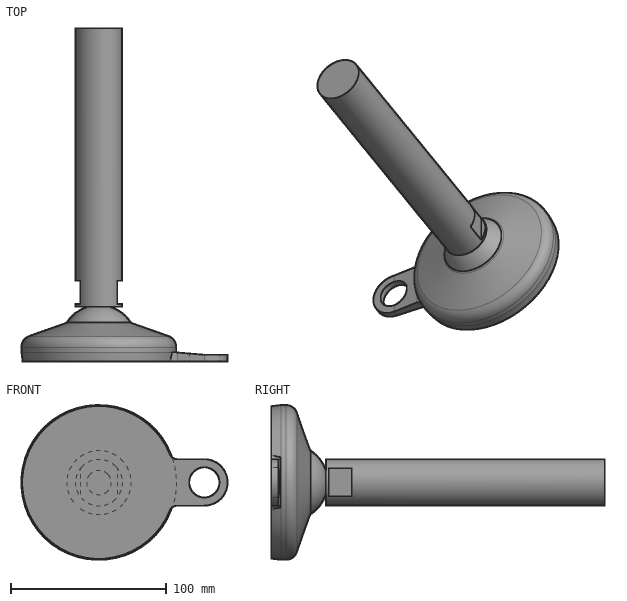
import cadquery as cq
import math

total_length = 215.0

foot_radius = 49.99
sole_radius = 49.2
sole_height = 6.2
rim_height = 9.5
shoulder_radius = 7.5
cone_angle = math.radians(19.5)
cone_top_radius = 21.7

ball_radius = 24.7
ball_center_y = 11.8
ball_base_y = 25.4

stem_radius = 15.0
stem_start_y = 35.3
flat_start_y = 37.2
flat_end_y = 52.0
across_flats = 24.0

tab_radius = 15.0
hole_radius = 9.7
overall_width = 133.0
hole_x = overall_width - foot_radius - tab_radius
tab_root_fillet = 5.4
tab_root_thickness = 6.0
tab_tip_thickness = 4.5


def shoulder_point(angle):
    """Point on the rounded shoulder, with the angle measured from the axis direction."""
    return (
        foot_radius - shoulder_radius + shoulder_radius * math.sin(angle),
        rim_height + shoulder_radius * math.cos(angle),
    )


def ball_radius_at(y):
    return math.sqrt(ball_radius**2 - (y - ball_center_y) ** 2)


def make_foot():
    """Revolved plate, cone and ball, reaching up to the underside of the stem."""
    cone_start = shoulder_point(cone_angle)
    cone_rise = (cone_start[0] - cone_top_radius) * math.tan(cone_angle)
    ball_mid_y = (ball_base_y + stem_start_y) / 2
    return (
        cq.Workplane("XY")
        .lineTo(sole_radius, 0)
        .lineTo(foot_radius, sole_height)
        .lineTo(foot_radius, rim_height)
        .threePointArc(shoulder_point((cone_angle + math.pi / 2) / 2), cone_start)
        .lineTo(cone_top_radius, cone_start[1] + cone_rise)
        .lineTo(ball_radius_at(ball_base_y), ball_base_y)
        .threePointArc(
            (ball_radius_at(ball_mid_y), ball_mid_y),
            (ball_radius_at(stem_start_y), stem_start_y),
        )
        .lineTo(0, stem_start_y)
        .close()
        .revolve(360, (0, 0), (0, 1))
    )


def make_stem():
    """Round rod with two wrench flats facing -X and +X."""
    stem = (
        cq.Workplane("XZ", origin=(0, stem_start_y, 0))
        .circle(stem_radius)
        .extrude(stem_start_y - total_length)
    )
    flat_length = flat_end_y - flat_start_y
    for side in (-1, 1):
        cutter = cq.Workplane("XY").box(
            stem_radius, flat_length, 2 * stem_radius
        ).translate((
            side * (across_flats + stem_radius) / 2,
            flat_start_y + flat_length / 2,
            0,
        ))
        stem = stem.cut(cutter)
    return stem


def make_tab():
    """Rounded tab with blended root corners and a top face sloping to the hole centre."""
    fillet_z = tab_radius + tab_root_fillet
    fillet_x = math.sqrt((sole_radius + tab_root_fillet) ** 2 - fillet_z**2)
    contact_ratio = sole_radius / (sole_radius + tab_root_fillet)
    contact_x = fillet_x * contact_ratio
    contact_z = fillet_z * contact_ratio
    mid_angle = (math.atan2(fillet_z, fillet_x) + math.pi / 2) / 2
    mid_x = fillet_x - tab_root_fillet * math.cos(mid_angle)
    mid_z = fillet_z - tab_root_fillet * math.sin(mid_angle)

    tab = (
        cq.Workplane("XZ")
        .lineTo(contact_x, -contact_z)
        .threePointArc((mid_x, -mid_z), (fillet_x, -tab_radius))
        .lineTo(hole_x, -tab_radius)
        .threePointArc((hole_x + tab_radius, 0), (hole_x, tab_radius))
        .lineTo(fillet_x, tab_radius)
        .threePointArc((mid_x, mid_z), (contact_x, contact_z))
        .close()
        .extrude(-tab_root_thickness)
    )
    side_profile = (
        cq.Workplane("XY")
        .lineTo(hole_x + tab_radius, 0)
        .lineTo(hole_x + tab_radius, tab_tip_thickness)
        .lineTo(hole_x, tab_tip_thickness)
        .lineTo(fillet_x, tab_root_thickness)
        .lineTo(0, tab_root_thickness)
        .close()
        .extrude(foot_radius, both=True)
    )
    hole = (
        cq.Workplane("XZ")
        .center(hole_x, 0)
        .circle(hole_radius)
        .extrude(-tab_root_thickness)
    )
    return tab.intersect(side_profile).cut(hole)


result = make_foot().union(make_stem()).union(make_tab())